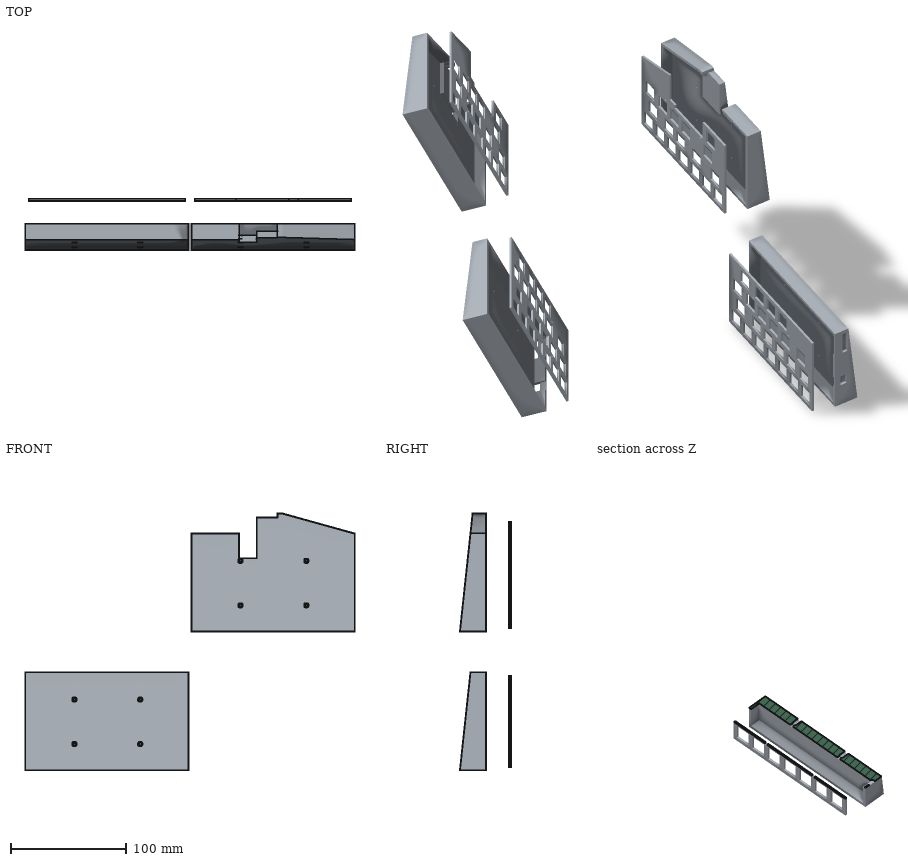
import cadquery as cq

TOTAL_WIDTH = 285.5
TOTAL_DEPTH = 44.5
HALF_WIDTH = 141.5
HALF_HEIGHT = 85.0
HALF_SHIFT_X = TOTAL_WIDTH - HALF_WIDTH
HALF_SHIFT_Z = 120.1

HOUSING_DEPTH = 22.8
TOP_EDGE_Y = 9.0
CAVITY_FLOOR_Y = 12.8
WALL = 2.9
THIN_WALL = 1.5

HUMP_TOP_Z = 102.5
HUMP_LEFT_X = 74.5
HUMP_SLOPE_X = 78.8
BAY_LEFT_X = 41.5
BAY_FLOOR_Z = 63.5
COVER_LEFT_X = 56.5
COVER_RIGHT_X = 84.5
COVER_TOP_Z = 99.0
COVER_BACK_Y = 16.3

TALL_SLOT = (10.3, 15.5, 59.6, 81.0)
SHORT_SLOT = (11.0, 17.5, 22.5, 32.5)

SCREW_HEAD_DIAMETER = 4.0
SCREW_SEAT_Y = 9.7
SCREW_HOLE_DIAMETER = 2.4
PLATE_SCREW_HOLE_DIAMETER = 2.2
SCREW_LEFT_X = 42.5
SCREW_BOTTOM_Z = 22.8
SCREW_SPACING_X = 57.0
SCREW_SPACING_Z = 38.5
SCREW_PLACES = [
    (SCREW_LEFT_X + column * SCREW_SPACING_X, SCREW_BOTTOM_Z + row * SCREW_SPACING_Z)
    for column in range(2)
    for row in range(2)
]

PLATE_THICKNESS = 2.0
PLATE_LEFT_X = WALL
PLATE_RIGHT_X = HALF_WIDTH - WALL
PLATE_BOTTOM_Z = WALL
PLATE_TOP_Z = HALF_HEIGHT - WALL
PLATE_BACK_Y = TOTAL_DEPTH
PLATE_FRONT_Y = PLATE_BACK_Y - PLATE_THICKNESS
PLATE_NOTCH_LEFT_X = BAY_LEFT_X - WALL
PLATE_NOTCH_FLOOR_Z = 63.0
PLATE_STEP_Z = 66.8
PLATE_HUMP_LEFT_X = 92.7
PLATE_HUMP_TOP_Z = 95.3

KEY_OPENING = 14.0
KEY_EDGE = 1.5
KEYS_PER_ROW = 7
KEY_PITCH = (PLATE_RIGHT_X - PLATE_LEFT_X - 2 * KEY_EDGE) / KEYS_PER_ROW

UNIT_KEY_ROW = (0, [1] * KEYS_PER_ROW)
LEFT_ROWS = [
    UNIT_KEY_ROW,
    (0, [1.25, 1, 1, 1, 1, 1.75]),
    (0, [1.75, 1, 1, 1, 1, 1.25]),
    (2, [1, 1, 1, 1.5]),
]
RIGHT_ROWS = [
    UNIT_KEY_ROW,
    (0, [1.5, 1.75, 1, 1, 1.75]),
    (0, [2.75, 1, 1, 1, 1.25]),
    (0, [2.25]),
]

LEFT_OUTLINE = [(0, 0), (HALF_WIDTH, 0), (HALF_WIDTH, HALF_HEIGHT), (0, HALF_HEIGHT)]
RIGHT_OUTLINE = [
    (0, 0),
    (HALF_WIDTH, 0),
    (HALF_WIDTH, HALF_HEIGHT),
    (HUMP_SLOPE_X, HUMP_TOP_Z),
    (HUMP_LEFT_X, HUMP_TOP_Z),
    (HUMP_LEFT_X, HALF_HEIGHT),
    (0, HALF_HEIGHT),
]
LEFT_PLATE_OUTLINE = [
    (PLATE_LEFT_X, PLATE_BOTTOM_Z),
    (PLATE_RIGHT_X, PLATE_BOTTOM_Z),
    (PLATE_RIGHT_X, PLATE_TOP_Z),
    (PLATE_LEFT_X, PLATE_TOP_Z),
]
RIGHT_PLATE_OUTLINE = [
    (PLATE_LEFT_X, PLATE_BOTTOM_Z),
    (PLATE_RIGHT_X, PLATE_BOTTOM_Z),
    (PLATE_RIGHT_X, PLATE_TOP_Z),
    (PLATE_HUMP_LEFT_X, PLATE_HUMP_TOP_Z),
    (PLATE_HUMP_LEFT_X, PLATE_STEP_Z),
    (COVER_RIGHT_X, PLATE_STEP_Z),
    (COVER_RIGHT_X, PLATE_NOTCH_FLOOR_Z),
    (PLATE_NOTCH_LEFT_X, PLATE_NOTCH_FLOOR_Z),
    (PLATE_NOTCH_LEFT_X, PLATE_TOP_Z),
    (PLATE_LEFT_X, PLATE_TOP_Z),
]


def box(x0, x1, y0, y1, z0, z1):
    """Block between two opposite corners."""
    return cq.Workplane("XY").box(x1 - x0, y1 - y0, z1 - z0, centered=False).translate((x0, y0, z0))


def extrude_outline(outline, y0, y1):
    """Solid with an XZ outline, reaching from y0 to y1."""
    return cq.Workplane("XZ", origin=(0, y0, 0)).polyline(outline).close().extrude(y0 - y1)


def front_face_y(z):
    """Y of the sloping front face at height z."""
    return TOP_EDGE_Y * z / HALF_HEIGHT


def wedge():
    """Everything between the sloping front face and the flat back, over the full hump height."""
    profile = [
        (0, 0),
        (HOUSING_DEPTH, 0),
        (HOUSING_DEPTH, HUMP_TOP_Z),
        (front_face_y(HUMP_TOP_Z), HUMP_TOP_Z),
    ]
    return cq.Workplane("YZ").polyline(profile).close().extrude(HALF_WIDTH)


def screw_cylinder(x, z, diameter, y0, y1):
    """Cylinder along Y around a screw axis."""
    return cq.Workplane("XZ", origin=(x, y0, z)).circle(diameter / 2).extrude(y0 - y1)


def cut_screw_holes(housing):
    """Counterbored holes through the front wall, square to the back."""
    for x, z in SCREW_PLACES:
        head = screw_cylinder(x, z, SCREW_HEAD_DIAMETER, 0, SCREW_SEAT_Y)
        shank = screw_cylinder(x, z, SCREW_HOLE_DIAMETER, 0, CAVITY_FLOOR_Y)
        housing = housing.cut(head).cut(shank)
    return housing


def open_shell(outline):
    """Wedge with the given outline, hollowed from the back to an even wall."""
    cavity_outline = cq.Workplane("XZ", origin=(0, CAVITY_FLOOR_Y, 0)).polyline(outline).close()
    cavity = cavity_outline.offset2D(-WALL).extrude(CAVITY_FLOOR_Y - HOUSING_DEPTH)
    return extrude_outline(outline, 0, HOUSING_DEPTH).intersect(wedge()).cut(cavity)


def left_housing():
    """Plain housing with two cable openings, each with a recess behind it."""
    housing = open_shell(LEFT_OUTLINE)
    for y0, y1, z0, z1 in (TALL_SLOT, SHORT_SLOT):
        slot = box(0, WALL, y0, y1, z0, z1)
        recess = box(THIN_WALL, WALL, CAVITY_FLOOR_Y, HOUSING_DEPTH, z0, z1)
        housing = housing.cut(slot).cut(recess)
    return cut_screw_holes(housing)


def right_housing():
    """Housing with a raised hump and a covered controller bay."""
    housing = open_shell(RIGHT_OUTLINE)
    housing = housing.cut(box(BAY_LEFT_X, COVER_RIGHT_X, 0, HOUSING_DEPTH, BAY_FLOOR_Z, COVER_TOP_Z))
    cover = box(COVER_LEFT_X, COVER_RIGHT_X, 0, COVER_BACK_Y, BAY_FLOOR_Z, COVER_TOP_Z).intersect(wedge())
    return cut_screw_holes(housing.union(cover))


def key_plate(outline, rows):
    """Flat plate with a square opening for each key and a hole behind each screw."""
    plate = extrude_outline(outline, PLATE_FRONT_Y, PLATE_BACK_Y)
    for row, (key_start, key_widths) in enumerate(rows):
        z0 = PLATE_BOTTOM_Z + KEY_EDGE + (row + 0.5) * KEY_PITCH - KEY_OPENING / 2
        for width in key_widths:
            x0 = PLATE_LEFT_X + KEY_EDGE + (key_start + width / 2) * KEY_PITCH - KEY_OPENING / 2
            opening = box(x0, x0 + KEY_OPENING, PLATE_FRONT_Y, PLATE_BACK_Y, z0, z0 + KEY_OPENING)
            plate = plate.cut(opening)
            key_start += width
    for x, z in SCREW_PLACES:
        plate = plate.cut(screw_cylinder(x, z, PLATE_SCREW_HOLE_DIAMETER, PLATE_FRONT_Y, PLATE_BACK_Y))
    return plate


def to_right_half(body):
    """Move a body from the lower-left to the upper-right half."""
    return body.translate((HALF_SHIFT_X, 0, HALF_SHIFT_Z))


lower_housing = left_housing()
upper_housing = to_right_half(right_housing())
lower_plate = key_plate(LEFT_PLATE_OUTLINE, LEFT_ROWS)
upper_plate = to_right_half(key_plate(RIGHT_PLATE_OUTLINE, RIGHT_ROWS))

result = cq.Compound.makeCompound(
    [lower_housing.val(), upper_housing.val(), lower_plate.val(), upper_plate.val()]
)